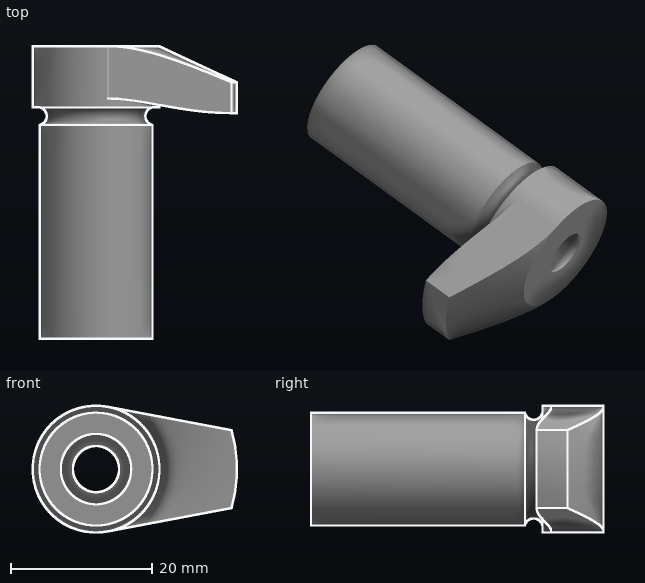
import cadquery as cq
import math

TOTAL_LENGTH = 41.5
HEAD_RADIUS = 18.0 / 2
HEAD_LENGTH = 8.67
SHANK_RADIUS = 16.0 / 2

GROOVE_WIDTH = 2.5
GROOVE_DEPTH = 1.0

WIDE_BORE_RADIUS = 10.0 / 2
NARROW_BORE_RADIUS = 6.5 / 2

LEVER_REACH = 29.0 - HEAD_RADIUS
FLANK_ANGLE = 10.7
LEVER_TIP_DROP = 5.1
LEVER_ROOT_DEPTH = 7.43
LEVER_TIP_DEPTH = 9.5


def turn(profile):
    """Revolve an XY profile fully about the Y axis."""
    return profile.close().revolve(360, (0, 0, 0), (0, 1, 0))


def cylinder(radius, y_start, y_end):
    """Cylinder along Y from y_start down to y_end."""
    return cq.Workplane("XZ", origin=(0, y_start, 0)).circle(radius).extrude(y_start - y_end)


def make_body():
    groove_end = HEAD_LENGTH + GROOVE_WIDTH
    groove_middle = HEAD_LENGTH + GROOVE_WIDTH / 2
    return turn(
        cq.Workplane("XY")
        .lineTo(HEAD_RADIUS, 0)
        .lineTo(HEAD_RADIUS, -HEAD_LENGTH)
        .lineTo(SHANK_RADIUS, -HEAD_LENGTH)
        .threePointArc((SHANK_RADIUS - GROOVE_DEPTH, -groove_middle), (SHANK_RADIUS, -groove_end))
        .lineTo(SHANK_RADIUS, -TOTAL_LENGTH)
        .lineTo(0, -TOTAL_LENGTH)
    )


def make_lever():
    run = LEVER_REACH - HEAD_RADIUS
    rise = LEVER_TIP_DEPTH - LEVER_ROOT_DEPTH
    arc_radius = (run**2 + rise**2) / (2 * rise)
    half_sweep = math.asin(run / arc_radius) / 2
    arc_middle = (
        LEVER_REACH - arc_radius * math.sin(half_sweep),
        -LEVER_TIP_DEPTH + arc_radius * (1 - math.cos(half_sweep)),
    )
    disc = turn(
        cq.Workplane("XY")
        .lineTo(HEAD_RADIUS, 0)
        .lineTo(LEVER_REACH, -LEVER_TIP_DROP)
        .lineTo(LEVER_REACH, -LEVER_TIP_DEPTH)
        .threePointArc(arc_middle, (HEAD_RADIUS, -LEVER_ROOT_DEPTH))
        .lineTo(0, -LEVER_ROOT_DEPTH)
    )

    angle = math.radians(FLANK_ANGLE)
    tangent_x = HEAD_RADIUS * math.sin(angle)
    tangent_z = HEAD_RADIUS * math.cos(angle)
    end_z = tangent_z - (LEVER_REACH - tangent_x) * math.tan(angle)
    wedge = (
        cq.Workplane("XZ")
        .polyline([
            (0, 0),
            (tangent_x, tangent_z),
            (LEVER_REACH, end_z),
            (LEVER_REACH, -end_z),
            (tangent_x, -tangent_z),
        ])
        .close()
        .extrude(LEVER_TIP_DEPTH)
    )
    return disc.intersect(wedge)


wide_bore = cylinder(WIDE_BORE_RADIUS, -HEAD_LENGTH, -TOTAL_LENGTH)
narrow_bore = cylinder(NARROW_BORE_RADIUS, 0, -TOTAL_LENGTH)

result = make_body().union(make_lever()).cut(wide_bore).cut(narrow_bore)